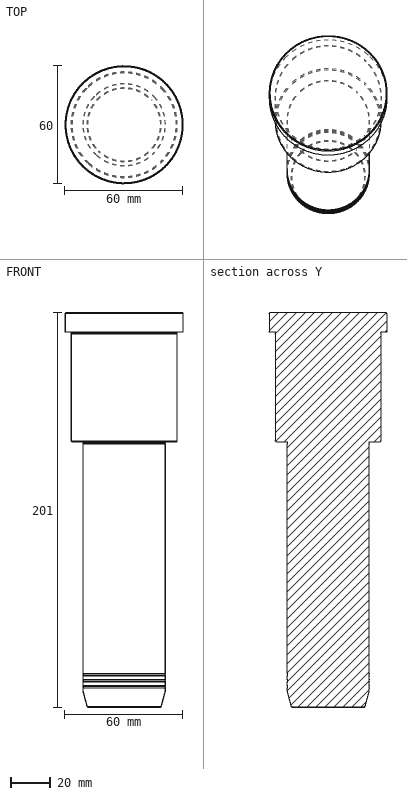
import cadquery as cq

total_length = 201.0
head_diameter = 60.0
head_height = 10.0
head_edge_chamfer = 0.5
collar_diameter = 54.0
collar_bottom_z = 134.9
collar_edge_chamfer = 0.6
shaft_diameter = 42.0
tip_diameter = 37.8
tip_length = 8.2
tip_edge_chamfer = 0.5

relief_width = 1.0
relief_depth = 0.2

groove_count = 3
groove_pitch = 3.0
groove_width = 1.2
groove_depth = 0.2
lowest_groove_z = 10.5

head_radius = head_diameter / 2
collar_radius = collar_diameter / 2
shaft_radius = shaft_diameter / 2
tip_radius = tip_diameter / 2
head_bottom_z = total_length - head_height


def revolve_about_z(profile):
    """Turn a closed half profile in the XZ plane into a solid of revolution."""
    return profile.revolve(360, (0, 0, 0), (0, 1, 0))


def make_body():
    """Make the tapered tip, shaft, collar and head as one stepped solid."""
    profile = (
        cq.Workplane("XZ")
        .lineTo(tip_radius - tip_edge_chamfer, 0)
        .lineTo(tip_radius, tip_edge_chamfer)
        .lineTo(shaft_radius, tip_length)
        .lineTo(shaft_radius, collar_bottom_z)
        .lineTo(collar_radius - collar_edge_chamfer, collar_bottom_z)
        .lineTo(collar_radius, collar_bottom_z + collar_edge_chamfer)
        .lineTo(collar_radius, head_bottom_z)
        .lineTo(head_radius, head_bottom_z)
        .lineTo(head_radius, total_length - head_edge_chamfer)
        .lineTo(head_radius - head_edge_chamfer, total_length)
        .lineTo(0, total_length)
        .close()
    )
    return revolve_about_z(profile)


def make_groove_cutter(middle_z, width, outer_radius, depth):
    """Make the ring of material removed by a V-shaped groove."""
    profile = (
        cq.Workplane("XZ")
        .moveTo(outer_radius, middle_z - width / 2)
        .lineTo(outer_radius - depth, middle_z)
        .lineTo(outer_radius, middle_z + width / 2)
        .close()
    )
    return revolve_about_z(profile)


result = make_body()

for shoulder_z, surface_radius in ((head_bottom_z, collar_radius), (collar_bottom_z, shaft_radius)):
    relief_z = shoulder_z - relief_width / 2
    result = result.cut(make_groove_cutter(relief_z, relief_width, surface_radius, relief_depth))

for index in range(groove_count):
    groove_z = lowest_groove_z + index * groove_pitch
    result = result.cut(make_groove_cutter(groove_z, groove_width, shaft_radius, groove_depth))